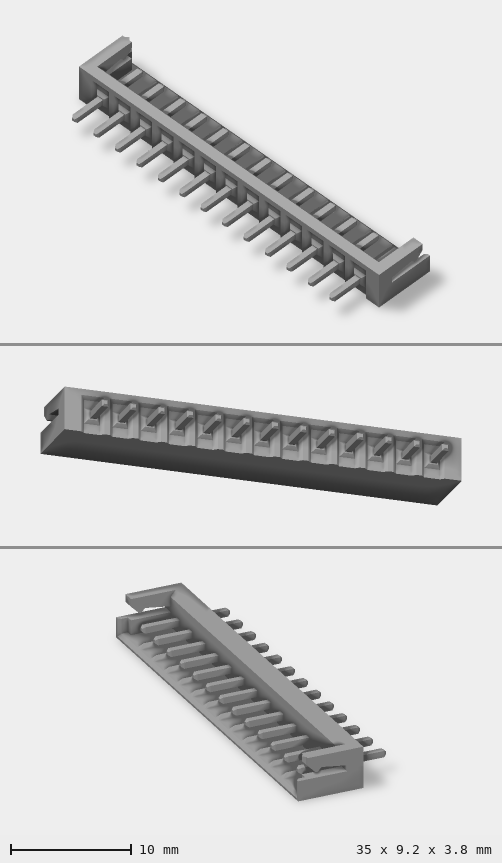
import cadquery as cq
pin_count = 13
pitch = 2.5
pin_width = 0.58
pin_axis_z = 1.55
pin_front_reach = 3.2
pin_back_y = 4.87
pin_tip_length = 0.22
pin_tip_inset = 0.15

housing_length = 35.0
housing_depth = 6.0
housing_height = 3.8
arm_width = 1.08
front_wall = 1.05
wall_root = 1.5
wall_slope_bottom_z = 3.25

deck_z = 0.5
deck_chamfer = 0.3
end_wall = 0.48
end_wall_chamfer = 0.25
rib_width = 0.6
rib_height = 0.42

slot_floor_z = 1.85
slot_bottom_y = wall_root
slot_root_z = 2.4
slot_high_y = 3.85
slot_high_z = 2.72
hook_y = 4.4
hook_z = 2.36
hook_width = 0.2
arm_tip_y = 5.15
arm_tip_z = 3.1
key_width = 0.55
key_length = 0.25

pocket_width = 2.0
pocket_top_z = 3.25
pocket_taper = 0.3
pocket_depth = pocket_taper
collar_width = 1.4
collar_tip_width = collar_width - 2 * pocket_taper

half_length = housing_length / 2
first_pin_x = -(pin_count - 1) * pitch / 2
pin_xs = [first_pin_x + i * pitch for i in range(pin_count)]
rib_xs = [x + pitch / 2 for x in pin_xs[:-1]]


def box(x_min, x_max, y_min, y_max, z_min, z_max):
    size = (x_max - x_min, y_max - y_min, z_max - z_min)
    return cq.Workplane("XY").box(*size, centered=False).translate((x_min, y_min, z_min))


def extrude_along_x(points, x_min, x_max):
    """Extrude an outline of (y, z) points from x_min to x_max."""
    return cq.Workplane("YZ", origin=(x_min, 0, 0)).polyline(points).close().extrude(x_max - x_min)


def frustum(x, z, y_from, width_from, y_to, width_to):
    """Square pyramid frustum running along Y, centred on (x, z)."""
    direction = (0, y_to - y_from, 0)
    plane = cq.Plane(origin=(x, y_from, z), xDir=(1, 0, 0), normal=direction)
    return (
        cq.Workplane(plane)
        .rect(width_from, width_from)
        .workplane(offset=abs(y_to - y_from))
        .rect(width_to, width_to)
        .loft(ruled=True)
    )


def make_front_wall_and_deck():
    deck_profile = [
        (0, 0),
        (housing_depth, 0),
        (housing_depth, deck_z - deck_chamfer),
        (housing_depth - deck_chamfer, deck_z),
        (wall_root, deck_z),
        (wall_root, wall_slope_bottom_z),
        (front_wall, housing_height),
        (0, housing_height),
    ]
    return extrude_along_x(deck_profile, -half_length, half_length)


def make_end(side):
    """Side wall below the slot and latch arm above it; side is -1 or +1."""
    low_wall = box(0, arm_width, 0, arm_tip_y, 0, slot_floor_z)
    inner_back_edge = cq.selectors.NearestToPointSelector((end_wall, housing_depth, slot_floor_z / 2))
    thin_wall = (
        box(0, end_wall, 0, housing_depth, 0, slot_floor_z)
        .edges(inner_back_edge)
        .chamfer(end_wall_chamfer)
    )
    arm_profile = [
        (0, slot_floor_z),
        (slot_bottom_y, slot_floor_z),
        (slot_bottom_y, slot_root_z),
        (slot_high_y, slot_high_z),
        (hook_y - hook_width, hook_z),
        (hook_y, hook_z),
        (arm_tip_y, arm_tip_z),
        (arm_tip_y, housing_height),
        (0, housing_height),
    ]
    end = low_wall.union(thin_wall).union(extrude_along_x(arm_profile, 0, arm_width))
    end = end.translate((-half_length, 0, 0))
    return end if side < 0 else end.mirror("YZ")


def make_arm_key():
    """Pointed key on the -X arm tip, cut below along the sloped lead-in of the hook."""
    centre_x = -half_length + arm_width / 2
    half_width = key_width / 2
    key = (
        cq.Workplane("XY", origin=(centre_x, arm_tip_y, 0))
        .polyline([(-half_width, 0), (half_width, 0), (0, key_length)])
        .close()
        .extrude(housing_height)
    )
    lead_in_slope = (arm_tip_z - hook_z) / (arm_tip_y - hook_y)
    key_end_y = arm_tip_y + key_length
    side_profile = [
        (arm_tip_y, arm_tip_z),
        (key_end_y, arm_tip_z + key_length * lead_in_slope),
        (key_end_y, housing_height),
        (arm_tip_y, housing_height),
    ]
    return key.intersect(extrude_along_x(side_profile, centre_x - half_width, centre_x + half_width))


def make_rib(x):
    """Triangular rib between two pins, its back end cut on the line of the deck chamfer."""
    rib = (
        cq.Workplane("XZ", origin=(x, wall_root, deck_z))
        .polyline([(-rib_width / 2, 0), (rib_width / 2, 0), (0, rib_height)])
        .close()
        .extrude(-(housing_depth - wall_root))
    )
    above_chamfer = extrude_along_x(
        [
            (housing_depth, deck_z - deck_chamfer),
            (housing_depth, housing_height),
            (housing_depth - deck_chamfer - housing_height + deck_z, housing_height),
        ],
        x - rib_width,
        x + rib_width,
    )
    return rib.cut(above_chamfer)


def make_pocket(x):
    """Tapered pocket, open downwards, with a tapered collar left standing around the pin."""
    mouth = pocket_width / 2
    floor = mouth - pocket_taper

    def section(workplane, half_width, top_z):
        return workplane.polyline(
            [(-half_width, 0), (half_width, 0), (half_width, top_z), (-half_width, top_z)]
        ).close()

    pocket = section(cq.Workplane("XZ", origin=(x, 0, 0)), mouth, pocket_top_z)
    pocket = section(pocket.workplane(offset=-pocket_depth), floor, pocket_top_z - pocket_taper)
    collar = frustum(x, pin_axis_z, pocket_depth, collar_width, 0, collar_tip_width)
    return pocket.loft(ruled=True).cut(collar)


def make_pin(x):
    tip_width = pin_width - 2 * pin_tip_inset
    shank_front_y = -pin_front_reach + pin_tip_length
    shank_back_y = pin_back_y - pin_tip_length
    half = pin_width / 2
    shank = box(x - half, x + half, shank_front_y, shank_back_y, pin_axis_z - half, pin_axis_z + half)
    front_tip = frustum(x, pin_axis_z, shank_front_y, pin_width, -pin_front_reach, tip_width)
    back_tip = frustum(x, pin_axis_z, shank_back_y, pin_width, pin_back_y, tip_width)
    return shank.union(front_tip).union(back_tip)


def row_of(make_feature, positions):
    """Group separate copies of a feature, one at each X position."""
    return cq.Workplane(cq.Compound.makeCompound([make_feature(x).val() for x in positions]))


result = make_front_wall_and_deck()
for side in (-1, 1):
    result = result.union(make_end(side))
result = result.union(make_arm_key())
result = result.union(row_of(make_rib, rib_xs))
result = result.cut(row_of(make_pocket, pin_xs))
result = result.union(row_of(make_pin, pin_xs)).solids()